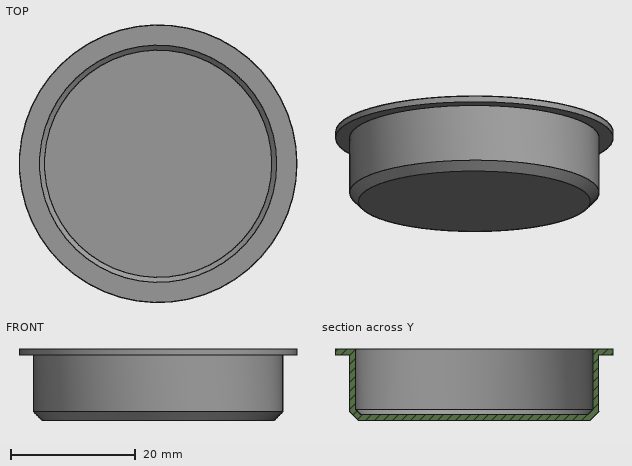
import cadquery as cq

flange_diameter = 44.5
height = 11.5
flange_thickness = 1.0

body_diameter = 40.0
bore_diameter = 38.0
floor_thickness = 1.0
outer_chamfer = 1.42
inner_chamfer = 0.8

body = cq.Workplane("XY").circle(body_diameter / 2).extrude(height)
body = body.faces("<Z").edges().chamfer(outer_chamfer)

flange = (
    cq.Workplane("XY")
    .workplane(offset=height - flange_thickness)
    .circle(flange_diameter / 2)
    .extrude(flange_thickness)
)

cavity = (
    cq.Workplane("XY")
    .workplane(offset=floor_thickness)
    .circle(bore_diameter / 2)
    .extrude(height - floor_thickness)
)
cavity = cavity.faces("<Z").edges().chamfer(inner_chamfer)

result = body.union(flange).cut(cavity)